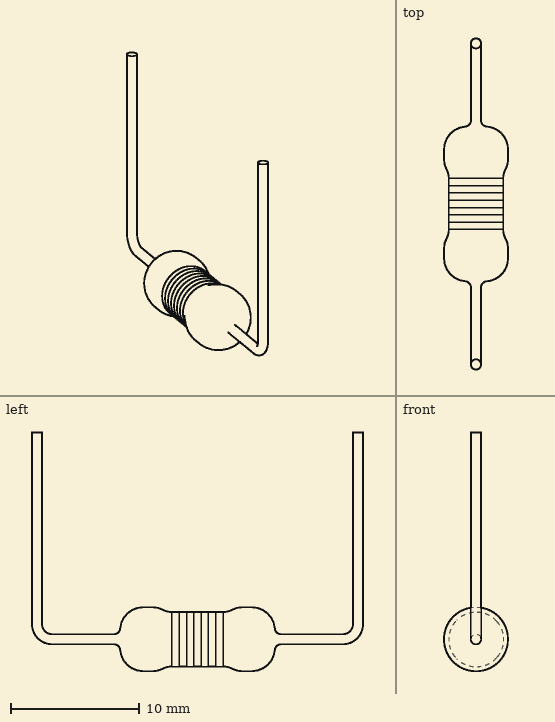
import cadquery as cq
import math

overall_length = 25.8
lead_top = 16.1
lead_radius = 0.8 / 2
bend_radius = 1.19

cap_radius = 5.0 / 2
waist_radius = 4.25 / 2
cap_inner_end = 3.45
cap_outer_end = 4.23
dome_radius = 1.8
collar_end = 6.5

band_radius = 4.28 / 2
band_count = 4
band_width = 0.57
waist_half_length = (2 * band_count - 1) * band_width / 2
middle_gap_half = band_width / 2

lead_y = overall_length / 2 - lead_radius


def body_half_profile():
    """Axial half section, in the XY plane, from the edge of the middle gap to the collar."""
    middle_radius = (cap_radius + waist_radius) / 2
    middle_y = (cap_inner_end + waist_half_length) / 2

    dome_center_radius = cap_radius - dome_radius
    center_gap = collar_end - cap_outer_end
    lead_offset = lead_radius - dome_center_radius
    collar_radius = (center_gap**2 + lead_offset**2 - dome_radius**2) / (2 * (dome_radius - lead_offset))
    collar_center_radius = lead_radius + collar_radius
    collar_angle = math.atan2(collar_center_radius - dome_center_radius, center_gap)

    def on_dome(angle):
        return (
            dome_center_radius + dome_radius * math.sin(angle),
            cap_outer_end + dome_radius * math.cos(angle),
        )

    collar_mid_angle = (collar_angle + math.pi / 2) / 2
    collar_mid = (
        collar_center_radius - collar_radius * math.sin(collar_mid_angle),
        collar_end - collar_radius * math.cos(collar_mid_angle),
    )
    return (
        cq.Workplane("XY")
        .moveTo(0, middle_gap_half)
        .lineTo(waist_radius, middle_gap_half)
        .lineTo(waist_radius, waist_half_length)
        .tangentArcPoint((middle_radius, middle_y), relative=False)
        .tangentArcPoint((cap_radius, cap_inner_end), relative=False)
        .lineTo(cap_radius, cap_outer_end)
        .threePointArc(on_dome((collar_angle + math.pi / 2) / 2), on_dome(collar_angle))
        .threePointArc(collar_mid, (lead_radius, collar_end))
        .lineTo(0, collar_end)
        .close()
    )


def make_body():
    half = body_half_profile().revolve(360, (0, 0, 0), (0, 1, 0))
    middle_gap = cq.Workplane("XZ", origin=(0, middle_gap_half, 0)).circle(waist_radius).extrude(band_width)
    return middle_gap.union(half).union(half.mirror("XZ"))


def make_bands():
    bands = cq.Workplane("XY")
    for index in range(band_count):
        start_y = -waist_half_length + 2 * index * band_width
        band = cq.Workplane("XZ", origin=(0, start_y, 0)).circle(band_radius).extrude(-band_width)
        bands = bands.union(band)
    return bands


def make_leads():
    """One continuous wire through the body, bent upward at both ends."""
    bend_start = lead_y - bend_radius
    bend_offset = bend_radius * math.sin(math.pi / 4)
    bend_mid_y = bend_start + bend_offset
    bend_mid_z = bend_radius - bend_offset
    path = (
        cq.Workplane("YZ")
        .moveTo(-lead_y, lead_top)
        .lineTo(-lead_y, bend_radius)
        .threePointArc((-bend_mid_y, bend_mid_z), (-bend_start, 0))
        .lineTo(bend_start, 0)
        .threePointArc((bend_mid_y, bend_mid_z), (lead_y, bend_radius))
        .lineTo(lead_y, lead_top)
    )
    return cq.Workplane("XY", origin=(0, -lead_y, lead_top)).circle(lead_radius).sweep(path)


result = make_body().union(make_bands()).union(make_leads())